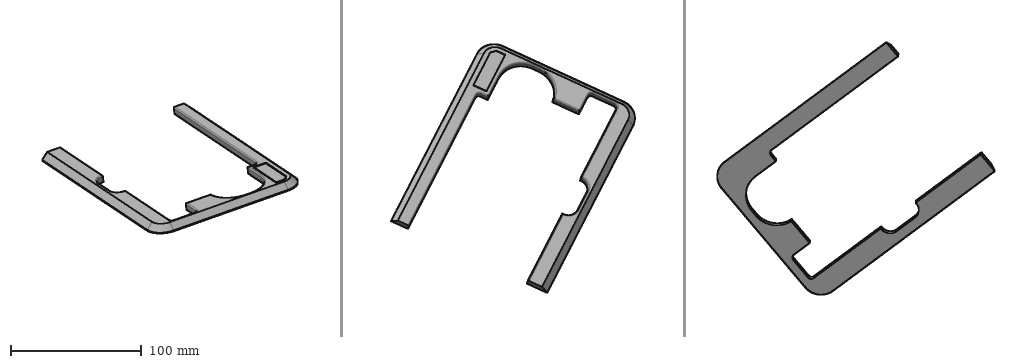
import cadquery as cq

LENGTH = 175.2
WIDTH = 132.1
THICKNESS = 6.0
TILT = 7.0
CORNER_RADIUS = 15.0
LIP_HEIGHT = 0.9
BEVEL = THICKNESS - LIP_HEIGHT

FRONT_ARM_WIDTH = 17.2
BACK_ARM_WIDTH = 14.4
BAR_WIDTH = 6.8
INNER_RADIUS = 3.0
EDGE_ROUND = 1.0
FRONT_Y = FRONT_ARM_WIDTH
BACK_Y = WIDTH - BACK_ARM_WIDTH
BAR_X = LENGTH - BAR_WIDTH

PAD_X = 128.3
BAY_RADIUS = 20.0
BAY_FLAT = 5.0
TAB_X = 149.6
TAB_FRONT_Y = 41.2
TAB_BACK_Y = 63.6
PAD_Y = TAB_BACK_Y + BAY_FLAT + 2 * BAY_RADIUS

NOTCH_X = 64.5
NOTCH_LENGTH = 34.3
NOTCH_DEPTH = 9.1
NOTCH_RADIUS = 8.0

RECESS_X = 132.0
RECESS_Y = 112.0
RECESS_LENGTH = 34.9
RECESS_WIDTH = 11.0
RECESS_CORNER = 3.5
RECESS_DEPTH = 0.7

SELECTION_MARGIN = 0.4


def block(x_min, x_max, y_min, y_max):
    """Rectangular block through the full plate thickness."""
    return cq.Workplane("XY").box(
        x_max - x_min, y_max - y_min, THICKNESS, centered=False
    ).translate((x_min, y_min, 0))


def bevelled_plate():
    """Plate with rounded +X corners and a bevel on all sides but the -X end."""
    plate = block(0, LENGTH, 0, WIDTH)
    plate = plate.edges("|Z and >X").fillet(CORNER_RADIUS)
    return plate.faces(">Z").edges("not <X").chamfer(BEVEL)


def bay():
    """Bay with two quarter-round corners, open toward -X."""
    cutter = block(PAD_X, BAR_X, TAB_BACK_Y, PAD_Y)
    return cutter.edges("|Z and >X").fillet(BAY_RADIUS)


def window():
    """Full opening between the arms, including the bay and the finger notch."""
    back_part = block(0, PAD_X, TAB_FRONT_Y, BACK_Y).edges("|Z and >X and >Y").fillet(INNER_RADIUS)
    middle_part = block(0, TAB_X, FRONT_Y, PAD_Y - BAY_RADIUS)
    front_part = block(0, BAR_X, FRONT_Y, TAB_FRONT_Y).edges("|Z and >X").fillet(INNER_RADIUS)
    notch = block(NOTCH_X, NOTCH_X + NOTCH_LENGTH, FRONT_Y - NOTCH_DEPTH, TAB_FRONT_Y)
    notch = notch.edges("|Z and <Y").fillet(NOTCH_RADIUS)
    opening = back_part
    for part in (middle_part, front_part, bay(), notch):
        opening = opening.union(part)
    return opening.clean()


def name_recess():
    """Shallow rectangular recess with one corner cut off."""
    floor = THICKNESS - RECESS_DEPTH
    recess = block(RECESS_X, RECESS_X + RECESS_LENGTH, RECESS_Y, RECESS_Y + RECESS_WIDTH)
    return recess.edges("|Z and >X and >Y").chamfer(RECESS_CORNER).translate((0, 0, floor))


frame = block(0, LENGTH, 0, WIDTH).cut(window())

window_zone = cq.selectors.BoxSelector(
    (-SELECTION_MARGIN, FRONT_Y - NOTCH_DEPTH - SELECTION_MARGIN, THICKNESS - SELECTION_MARGIN),
    (BAR_X + SELECTION_MARGIN, BACK_Y + SELECTION_MARGIN, THICKNESS + SELECTION_MARGIN),
)
frame = frame.edges(window_zone).edges("not <X").fillet(EDGE_ROUND)

frame = frame.intersect(bevelled_plate())
frame = frame.cut(name_recess())
result = frame.rotate((0, 0, 0), (1, 0, 0), TILT)